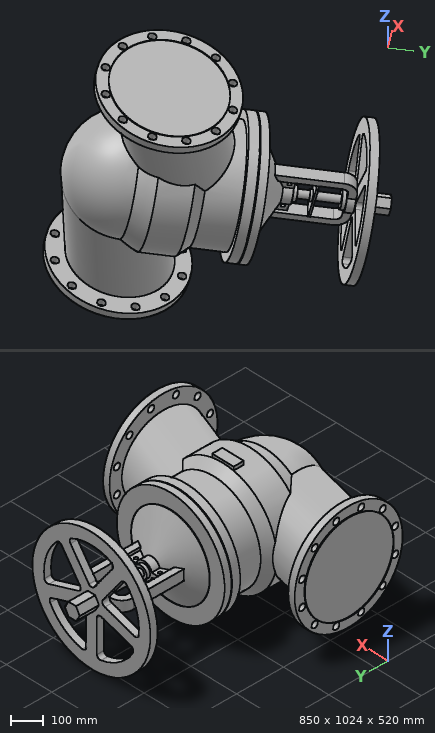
import cadquery as cq
import math


face_to_face = 850.0
end_flange_dia = 461.0
end_flange_thick = 29.0
raised_face_dia = 379.0
raised_face_height = 3.0
bolt_circle_dia = 410.0
bolt_hole_dia = 27.0
bolt_count = 12

pipe_dia = 334.0
inlet_tilt = 13.0
outlet_tilt = 20.0
inlet_offset = 4.0

bowl_radius = 206.0
bowl_center_y = -48.0
chest_radius = 237.0
chest_bottom_y = 12.0
chest_top_y = 128.0
neck_bottom_y = 166.0
body_flange_bottom_y = 284.0
body_flange_radius = 237.0
body_flange_thick = 35.0
gasket_radius = 225.0
gasket_thick = 3.0
bonnet_flange_thick = 29.0

bonnet_lip_height = 2.0
bonnet_cone_radius = 173.0
bonnet_cone_top_y = 430.0
stuffing_box_radius = 36.0
stuffing_box_top_y = 464.0
gland_radius = 27.0
gland_top_y = 478.0

stem_radius = 15.0
collar_radius = 19.0
collar_bottom_y = 518.0
guide_plate_bottom_y = 527.0
guide_plate_length = 135.0
guide_plate_width = 59.0
guide_plate_thick = 7.0
stem_hex_across_corners = 67.0
stem_top_y = 770.0

yoke_width = 203.0
yoke_bar = 28.0
yoke_depth = 45.0
yoke_bend_radius = 49.0
yoke_hub_dia = 80.0
yoke_nut_dia = 67.0
yoke_nut_length = 13.0
web_thick = 20.0
web_hole_dia = 13.0
web_hole_spacing = 105.0
web_hole_y = 446.0

wheel_dia = 520.0
wheel_thick = 31.0
wheel_bottom_y = 657.0
wheel_rim_width = 51.0
spoke_count = 5
spoke_width = 48.0
window_corner_radius = 14.0

plate_length = 94.0
plate_width = 44.0
plate_top_z = 248.0

neck_radius = bowl_radius
plate_root_z = neck_radius
bowl_bottom_y = bowl_center_y - bowl_radius
flange_back_x = face_to_face / 2 - raised_face_height - end_flange_thick
body_flange_top_y = body_flange_bottom_y + body_flange_thick
gasket_top_y = body_flange_top_y + gasket_thick
bonnet_flange_top_y = gasket_top_y + bonnet_flange_thick
bonnet_cone_bottom_y = bonnet_flange_top_y + bonnet_lip_height
yoke_top_y = wheel_bottom_y
yoke_inner_top_y = yoke_top_y - yoke_bar
yoke_inner_width = yoke_width - 2 * yoke_bar


def plane_at_y(y):
    """Plane across the stem axis, facing +Y, with local x along X and local y along -Z."""
    return cq.Workplane(cq.Plane((0, y, 0), xDir=(1, 0, 0), normal=(0, 1, 0)))


def disc(radius, bottom_y, top_y):
    return plane_at_y(bottom_y).circle(radius).extrude(top_y - bottom_y)


def make_housing():
    """Body, gasket, bonnet and gland as one solid of revolution about Y."""
    bowl_mid = bowl_radius * math.sqrt(0.5)
    profile = (
        cq.Workplane("XY")
        .moveTo(0, bowl_bottom_y)
        .threePointArc((bowl_mid, bowl_center_y - bowl_mid), (bowl_radius, bowl_center_y))
        .lineTo(chest_radius, chest_bottom_y)
        .lineTo(chest_radius, chest_top_y)
        .lineTo(neck_radius, neck_bottom_y)
        .lineTo(neck_radius, body_flange_bottom_y)
        .lineTo(body_flange_radius, body_flange_bottom_y)
        .lineTo(body_flange_radius, body_flange_top_y)
        .lineTo(gasket_radius, body_flange_top_y)
        .lineTo(gasket_radius, gasket_top_y)
        .lineTo(body_flange_radius, gasket_top_y)
        .lineTo(body_flange_radius, bonnet_flange_top_y)
        .lineTo(bonnet_cone_radius, bonnet_flange_top_y)
        .lineTo(bonnet_cone_radius, bonnet_cone_bottom_y)
        .lineTo(stuffing_box_radius, bonnet_cone_top_y)
        .lineTo(stuffing_box_radius, stuffing_box_top_y)
        .lineTo(gland_radius, stuffing_box_top_y)
        .lineTo(gland_radius, gland_top_y)
        .lineTo(0, gland_top_y)
        .close()
    )
    return profile.revolve(360, (0, 0, 0), (0, 1, 0))


def make_pipe(side, rise_angle, axis_y):
    """Slanted pipe from the flange on one side (-1 or +1 along X) into the body."""
    angle = math.radians(rise_angle)
    inward = cq.Vector(-side * math.cos(angle), math.sin(angle), 0)
    flange_back = cq.Vector(side * flange_back_x, axis_y, 0)
    inner_length = flange_back_x / math.cos(angle)
    overrun = pipe_dia
    start = flange_back - inward * overrun
    pipe = (
        cq.Workplane(cq.Plane(start, xDir=(0, 0, 1), normal=inward))
        .circle(pipe_dia / 2)
        .extrude(overrun + inner_length)
    )
    between_flanges = cq.Workplane("XY").box(2 * flange_back_x, 4 * pipe_dia, 2 * pipe_dia)
    return pipe.intersect(between_flanges)


def make_end_flange(side):
    """Drilled end flange with raised face on one side (-1 or +1 along X)."""
    outward = cq.Plane((side * flange_back_x, 0, 0), xDir=(0, 1, 0), normal=(side, 0, 0))
    half_pitch = 180 / bolt_count
    return (
        cq.Workplane(outward)
        .circle(end_flange_dia / 2)
        .extrude(end_flange_thick)
        .faces(">X" if side > 0 else "<X")
        .workplane()
        .circle(raised_face_dia / 2)
        .extrude(raised_face_height)
        .copyWorkplane(cq.Workplane(outward))
        .polarArray(bolt_circle_dia / 2, half_pitch, 360, bolt_count)
        .circle(bolt_hole_dia / 2)
        .cutBlind(end_flange_thick)
    )


def make_stem():
    """Stem with collar, guide plate and hexagonal top."""
    stem = disc(stem_radius, stuffing_box_top_y, yoke_top_y)
    collar = disc(collar_radius, collar_bottom_y, guide_plate_bottom_y)
    guide_plate = (
        plane_at_y(guide_plate_bottom_y)
        .rect(guide_plate_length, guide_plate_width)
        .extrude(guide_plate_thick)
    )
    hex_top = (
        plane_at_y(wheel_bottom_y)
        .polygon(6, stem_hex_across_corners)
        .extrude(stem_top_y - wheel_bottom_y)
    )
    return stem.union(collar).union(guide_plate).union(hex_top)


def make_arch(width, top_y, bend_radius):
    """Block standing in the bonnet with its two upper corners rounded."""
    height = top_y - bonnet_flange_top_y
    return (
        cq.Workplane("XY")
        .center(0, bonnet_flange_top_y + height / 2)
        .rect(width, height)
        .extrude(yoke_depth / 2, both=True)
        .edges(">Y and |Z")
        .fillet(bend_radius)
    )


def make_yoke():
    """Arched yoke with hub, yoke nut and the drilled web between its arms."""
    outer = make_arch(yoke_width, yoke_top_y, yoke_bend_radius)
    opening = make_arch(yoke_inner_width, yoke_inner_top_y, yoke_bend_radius - yoke_bar)
    hub = disc(yoke_hub_dia / 2, yoke_inner_top_y, yoke_top_y)
    nut = disc(yoke_nut_dia / 2, yoke_inner_top_y - yoke_nut_length, yoke_inner_top_y)
    web_height = stuffing_box_top_y - bonnet_flange_top_y
    web = (
        cq.Workplane("XY")
        .center(0, bonnet_flange_top_y + web_height / 2)
        .rect(yoke_inner_width, web_height)
        .extrude(web_thick / 2, both=True)
    )
    web_holes = (
        cq.Workplane("XY")
        .pushPoints([(side * web_hole_spacing / 2, web_hole_y) for side in (-1, 1)])
        .circle(web_hole_dia / 2)
        .extrude(web_thick, both=True)
    )
    return outer.cut(opening).union(hub).union(nut).union(web.cut(web_holes))


def make_wheel():
    """Handwheel with round-cornered windows between evenly spaced spokes, one along -Z."""
    rim_inner_radius = wheel_dia / 2 - wheel_rim_width
    wheel_top_y = wheel_bottom_y + wheel_thick
    windows = disc(rim_inner_radius, wheel_bottom_y, wheel_top_y)
    for index in range(spoke_count):
        spoke = (
            plane_at_y(wheel_bottom_y)
            .transformed(rotate=(0, 0, 90 + index * 360 / spoke_count))
            .center(wheel_dia / 4, 0)
            .rect(wheel_dia / 2, spoke_width)
            .extrude(wheel_thick)
        )
        windows = windows.cut(spoke)
    windows = windows.edges("|Y").fillet(window_corner_radius)
    return disc(wheel_dia / 2, wheel_bottom_y, wheel_top_y).cut(windows)


def make_name_plate():
    """Flat rectangular plate on the +Z side of the chest, against its upper edge."""
    return (
        cq.Workplane("XY")
        .workplane(offset=plate_root_z)
        .center(0, chest_top_y - plate_width / 2)
        .rect(plate_length, plate_width)
        .extrude(plate_top_z - plate_root_z)
    )


result = (
    make_housing()
    .union(make_pipe(-1, -inlet_tilt, inlet_offset))
    .union(make_pipe(1, outlet_tilt, 0))
    .union(make_end_flange(-1))
    .union(make_end_flange(1))
    .union(make_stem())
    .union(make_yoke())
    .union(make_wheel())
    .union(make_name_plate())
)